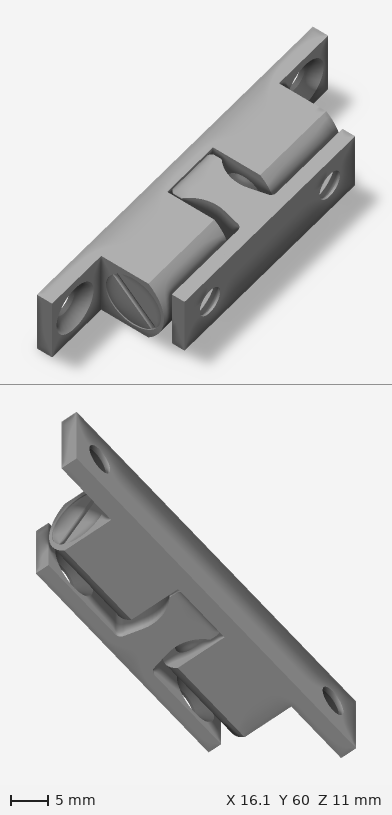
import cadquery as cq
import math

LENGTH = 60.0
HEIGHT = 11.0
BASE_THICKNESS = 2.6
HOUSING_REACH = 13.2
HOUSING_FLAT_END = 10.55
HOUSING_INNER_Y = 5.0
HOUSING_OUTER_Y = 19.3
BASE_HOLE_Y = 25.0
BASE_HOLE_DIAMETER = 4.45
BASE_SINK_DIAMETER = 8.05

BALL_AXIS_X = 7.8
BALL_RADIUS = 3.4
BALL_PROTRUSION = 2.3
SCREW_AXIS_X = 8.05
SCREW_DIAMETER = 9.35
SCREW_RECESS = 0.2
SLOT_WIDTH = 1.15
SLOT_DEPTH = 0.6
SLOT_ANGLE = 45.0

OVERALL_DEPTH = 16.1
STRIKE_THICKNESS = 2.15
STRIKE_LENGTH = 37.1
STRIKE_HEIGHT = 9.95
STRIKE_HOLE_Y = 13.0
STRIKE_HOLE_DIAMETER = 4.45
STRIKE_SINK_DIAMETER = 8.05
SINK_ANGLE = 90.0
TONGUE_HALF_WIDTH = 4.4
TONGUE_HEAD_LENGTH = 1.9
TONGUE_CORNER_RADIUS = 0.8
WAIST_X = 8.95
WAIST_HALF_WIDTH = 2.4
FLARE_ANGLE = math.radians(14.0)
ROOT_RADIUS = 0.9

STRIKE_FACE_X = OVERALL_DEPTH - STRIKE_THICKNESS


def box(x_start, x_end, y_start, y_end, height):
    """Block between the given X and Y limits, centred on Z = 0."""
    return cq.Workplane("XY").box(
        x_end - x_start, y_end - y_start, height, centered=(False, False, True)
    ).translate((x_start, y_start, 0))


def make_housing(side):
    """One rounded housing with its ball and slotted screw, on the +Y or -Y side."""
    profile = (
        cq.Workplane("XZ")
        .moveTo(0, -HEIGHT / 2)
        .lineTo(HOUSING_FLAT_END, -HEIGHT / 2)
        .threePointArc((HOUSING_REACH, 0), (HOUSING_FLAT_END, HEIGHT / 2))
        .lineTo(0, HEIGHT / 2)
        .close()
    )
    housing = profile.extrude(HOUSING_OUTER_Y - HOUSING_INNER_Y).translate((0, -HOUSING_INNER_Y, 0))

    ball_y = HOUSING_INNER_Y - BALL_PROTRUSION + BALL_RADIUS
    housing = housing.union(cq.Workplane("XY").sphere(BALL_RADIUS).translate((BALL_AXIS_X, -ball_y, 0)))

    screw_face_y = HOUSING_OUTER_Y - SCREW_RECESS
    recess = (
        cq.Workplane("XZ")
        .circle(SCREW_DIAMETER / 2)
        .extrude(SCREW_RECESS)
        .translate((SCREW_AXIS_X, -screw_face_y, 0))
    )
    slot = (
        cq.Workplane("XZ")
        .rect(SCREW_DIAMETER, SLOT_WIDTH)
        .extrude(SLOT_DEPTH)
        .intersect(cq.Workplane("XZ").circle(SCREW_DIAMETER / 2).extrude(SLOT_DEPTH))
        .rotate((0, 0, 0), (0, 1, 0), SLOT_ANGLE)
        .translate((SCREW_AXIS_X, SLOT_DEPTH - screw_face_y, 0))
    )
    housing = housing.cut(recess).cut(slot)
    if side > 0:
        housing = housing.mirror("XZ")
    return housing


def make_catch():
    base = (
        box(0, BASE_THICKNESS, -LENGTH / 2, LENGTH / 2, HEIGHT)
        .faces(">X")
        .workplane(origin=(BASE_THICKNESS, 0, 0))
        .pushPoints([(-BASE_HOLE_Y, 0), (BASE_HOLE_Y, 0)])
        .cskHole(BASE_HOLE_DIAMETER, BASE_SINK_DIAMETER, SINK_ANGLE)
    )
    for side in (-1, 1):
        base = base.union(make_housing(side))
    return base


def make_tongue():
    """Tongue with rounded head corners, a hollow on each side and a flared root."""
    head_x = BASE_THICKNESS + TONGUE_HEAD_LENGTH
    run = WAIST_X - head_x
    rise = TONGUE_HALF_WIDTH - WAIST_HALF_WIDTH
    hollow_radius = (run ** 2 + rise ** 2) / (2 * rise)

    flare_x = WAIST_X + hollow_radius * math.sin(FLARE_ANGLE)
    flare_y = WAIST_HALF_WIDTH + hollow_radius * (1 - math.cos(FLARE_ANGLE))
    root_y = flare_y + (STRIKE_FACE_X - flare_x) * math.tan(FLARE_ANGLE)

    tongue = (
        cq.Workplane("XY")
        .moveTo(BASE_THICKNESS, -TONGUE_HALF_WIDTH)
        .lineTo(head_x, -TONGUE_HALF_WIDTH)
        .threePointArc((WAIST_X, -WAIST_HALF_WIDTH), (flare_x, -flare_y))
        .lineTo(STRIKE_FACE_X, -root_y)
        .lineTo(STRIKE_FACE_X, root_y)
        .lineTo(flare_x, flare_y)
        .threePointArc((WAIST_X, WAIST_HALF_WIDTH), (head_x, TONGUE_HALF_WIDTH))
        .lineTo(BASE_THICKNESS, TONGUE_HALF_WIDTH)
        .close()
        .extrude(STRIKE_HEIGHT / 2, both=True)
    )
    return tongue.edges("|Z and <X").fillet(TONGUE_CORNER_RADIUS), root_y


def make_strike():
    tongue, root_y = make_tongue()
    plate = box(STRIKE_FACE_X, OVERALL_DEPTH, -STRIKE_LENGTH / 2, STRIKE_LENGTH / 2, STRIKE_HEIGHT)
    strike = plate.union(tongue)
    for side in (-1, 1):
        root_edge = cq.selectors.NearestToPointSelector((STRIKE_FACE_X, side * root_y, 0))
        strike = strike.edges("|Z").edges(root_edge).fillet(ROOT_RADIUS)
    return (
        strike.copyWorkplane(cq.Workplane("YZ", origin=(STRIKE_FACE_X, 0, 0)))
        .transformed(rotate=(0, 180, 0))
        .pushPoints([(-STRIKE_HOLE_Y, 0), (STRIKE_HOLE_Y, 0)])
        .cskHole(STRIKE_HOLE_DIAMETER, STRIKE_SINK_DIAMETER, SINK_ANGLE)
    )


catch = make_catch()
strike = make_strike()

result = cq.Compound.makeCompound([catch.val(), strike.val()])